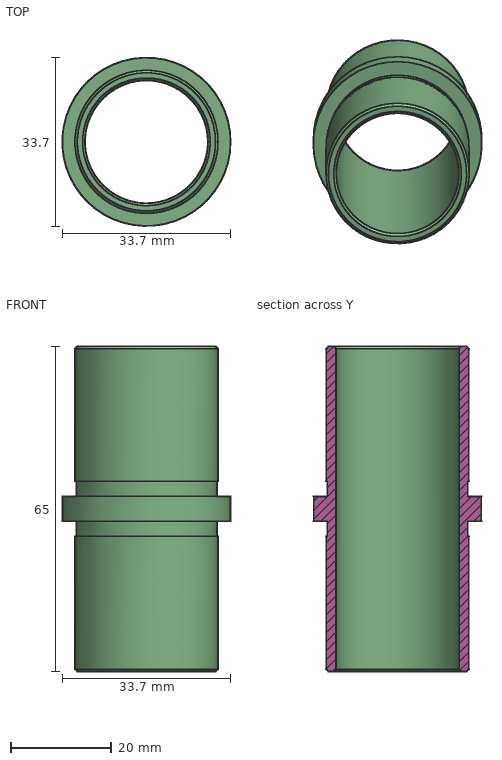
import cadquery as cq

length = 65.0
flange_diameter = 33.7
flange_thickness = 5.0

tube_diameter = 28.6
bore_diameter = 24.5
end_chamfer = 0.5

relief_depth = 0.2
relief_span = 11.0
neck_diameter = tube_diameter - 2 * relief_depth


def centred_cylinder(diameter, height):
    """Solid cylinder along Z, centred on the origin."""
    return cq.Workplane("XY").cylinder(height, diameter / 2)


def chamfered_tube():
    """Hollow tube with its inner and outer rims chamfered at both ends."""
    tube = centred_cylinder(tube_diameter, length).cut(centred_cylinder(bore_diameter, length))
    return tube.faces("<Z or >Z").edges().chamfer(end_chamfer)


def neck_relief():
    """Ring of material turned off the tube around its middle."""
    return centred_cylinder(flange_diameter, relief_span).cut(centred_cylinder(neck_diameter, relief_span))


def flange():
    """Plain collar around the middle of the tube."""
    return centred_cylinder(flange_diameter, flange_thickness).cut(
        centred_cylinder(bore_diameter, flange_thickness)
    )


result = chamfered_tube().cut(neck_relief()).union(flange())